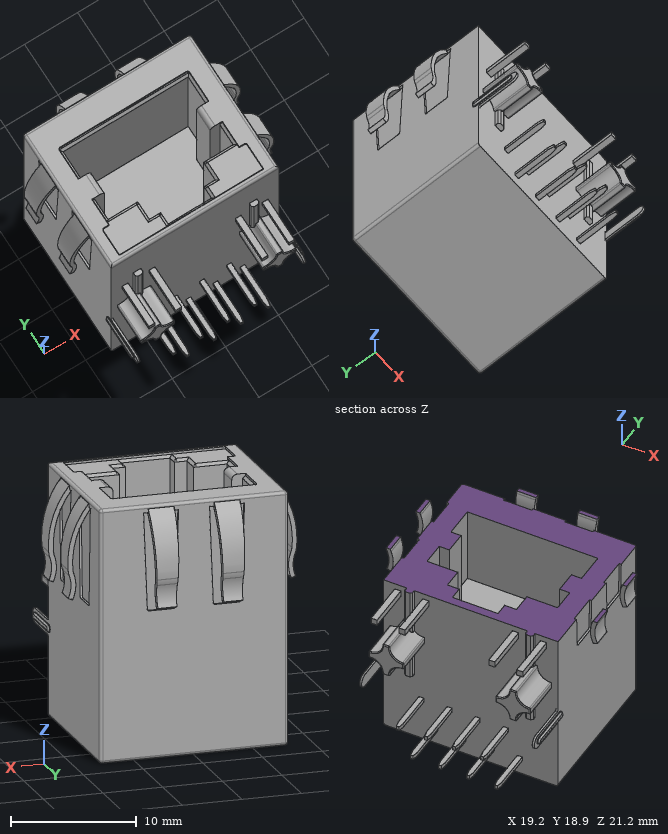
import cadquery as cq
import math


WIDTH = 15.8
DEPTH = 13.24
HEIGHT = 21.25
EDGE_RADIUS = 0.25
SHEET = 0.2

SOCKET_DEPTH = 12.75
LEAD_IN = 0.23
SOCKET_REAR_Y = 10.37
SOCKET_SHOULDER_Y = 3.65
SOCKET_STEP_Y = 1.91
SOCKET_FRONT_Y = 0.79
SOCKET_HALF_WIDTH = 5.89
STEP_HALF_WIDTH = 3.1
LATCH_HALF_WIDTH = 2.05
MOUTH_REAR_Y = 10.7
LAMP_HALF_WIDTH = 6.78
LAMP_REAR_Y = 3.12
WINDOW_CORNER_RADIUS = 0.17

RIB_HALF_GAP = 4.97
RIB_FRONT_Y = 5.65
RIB_REAR_Y = 7.67
RIB_TOP_RADIUS = 0.47

SPRING_TOP_WIDTH = 2.17
SPRING_TIP_WIDTH = 1.57
SPRING_ROOT_Z = 20.95
SPRING_TIP_Z = 12.84
SPRING_REACH = 1.7
SPRING_APEX_Z = 16.15
SPRING_THICKNESS = 0.4
SPRING_BOW_RADIUS = 7.65
SPRING_ROOT_ANGLE = 42.0
SPRING_BOW_END_ANGLE = 5.0
SPRING_KNEE_RADIUS = 1.91
SPRING_KNEE_ANGLE = 20.0
SPRING_TOE_RADIUS = 2.55
SPRING_TOE_ANGLE = 24.0
SPRING_SIDE_YS = (4.38, 9.35)
SPRING_REAR_X = 2.76
WINDOW_TOP_Z = 20.63
WINDOW_BOTTOM_Z = 12.4
WINDOW_TOP_WIDTH = 2.93
WINDOW_BOTTOM_WIDTH = 2.3

RIDGE_X = 5.46
RIDGE_WIDTH = 0.72
RIDGE_HEIGHT = 0.45
RIDGE_CHAMFER = 0.17
RIDGE_BOTTOM_Z = 6.48
RIDGE_TOP_Z = 16.55

PEG_X = 5.74
PEG_Z = 10.45
PEG_REACH = 1.57
PEG_ARM_HALF_WIDTH = 0.32
PEG_WAIST_RADIUS = 0.91
PEG_LENGTH = 3.6
PEG_TIP_CHAMFER = 0.08
PEG_ARM_ROUNDING = 0.1

PIN_LENGTH = 4.0
PINS_PER_ROW = 4
PIN_ROW_SPAN = 7.63
PIN_PITCH = PIN_ROW_SPAN / (PINS_PER_ROW - 1)
PIN_WIDTH = 0.45
PIN_THICKNESS = 0.38
PIN_TIP_WIDTH = 0.25
PIN_TIP_LENGTH = 0.53
PIN_ROW_ZS = (4.12, 1.6)
LAMP_PIN_SIZE = 0.55
LAMP_PIN_XS = (4.05, 6.59)
LAMP_PIN_Z = 14.54

TAB_WIDTH = 1.23
TAB_ROOT_RADIUS = 0.15
TAB_THICKNESS = 0.2
TAB_Z = 7.42
BEAD_WIDTH = 0.64
BEAD_HEIGHT = 0.21
BEAD_CHAMFER = 0.15
BEAD_REAR_Y = 0.55
BEAD_FRONT_Y = -3.53

EMBED = 0.32


def mirrored_pair(solid):
    return solid.union(solid.mirror("YZ"))


def box(x_range, y_range, z_range):
    (x0, x1), (y0, y1), (z0, z1) = x_range, y_range, z_range
    return cq.Workplane("XY").box(x1 - x0, y1 - y0, z1 - z0, centered=False).translate((x0, y0, z0))


def solder_side(x, z):
    """Workplane with local axes along +X and +Z whose extrusions run toward -Y."""
    return cq.Workplane("XZ", origin=(x, EMBED, z))


def make_housing():
    """Block with rounded edges; the solder side stays sharp along its sides and bottom."""
    block = box((-WIDTH / 2, WIDTH / 2), (0, DEPTH), (0, HEIGHT))
    return block.edges(">Z or |Z and >Y or <Z and (not <Y)").fillet(EDGE_RADIUS)


def socket_outline(z, margin):
    """Stepped plug outline, grown outward by the margin."""
    half_outline = [
        (SOCKET_HALF_WIDTH + margin, SOCKET_REAR_Y + margin),
        (SOCKET_HALF_WIDTH + margin, SOCKET_SHOULDER_Y - margin),
        (STEP_HALF_WIDTH + margin, SOCKET_SHOULDER_Y - margin),
        (STEP_HALF_WIDTH + margin, SOCKET_STEP_Y - margin),
        (LATCH_HALF_WIDTH + margin, SOCKET_STEP_Y - margin),
        (LATCH_HALF_WIDTH + margin, SOCKET_FRONT_Y - margin),
    ]
    other_half = [(-x, y) for x, y in reversed(half_outline)]
    return cq.Workplane("XY", origin=(0, 0, z)).polyline(half_outline + other_half).close()


def cut_socket(body):
    core_top = HEIGHT - SHEET
    mouth_half_width = SOCKET_HALF_WIDTH + LEAD_IN
    front_y = SOCKET_FRONT_Y - LEAD_IN
    mouth = box((-mouth_half_width, mouth_half_width), (front_y, MOUTH_REAR_Y), (core_top, HEIGHT))
    lamps = box((-LAMP_HALF_WIDTH, LAMP_HALF_WIDTH), (front_y, LAMP_REAR_Y), (core_top, HEIGHT))
    mouth = mouth.edges("|Z and >Y").fillet(WINDOW_CORNER_RADIUS)
    lamps = lamps.edges("|Z and >Y").fillet(WINDOW_CORNER_RADIUS)
    lead_in = socket_outline(core_top, LEAD_IN).extrude(-LEAD_IN, taper=45)
    socket = socket_outline(core_top, 0).extrude(-SOCKET_DEPTH)
    return body.cut(mouth).cut(lamps).cut(lead_in).cut(socket)


def make_rib():
    rib = box(
        (RIB_HALF_GAP, SOCKET_HALF_WIDTH + LEAD_IN + EMBED),
        (RIB_FRONT_Y, RIB_REAR_Y),
        (HEIGHT - SHEET - SOCKET_DEPTH, HEIGHT),
    )
    return rib.edges("<X and >Z").fillet(RIB_TOP_RADIUS)


def trapezoid(top_width, bottom_width, top_z, bottom_z):
    """Symmetric wire in the YZ plane."""
    return cq.Workplane("YZ").polyline([
        (-top_width / 2, top_z),
        (top_width / 2, top_z),
        (bottom_width / 2, bottom_z),
        (-bottom_width / 2, bottom_z),
    ]).close()


def polar(center, radius, degrees):
    angle = math.radians(degrees)
    return center[0] + radius * math.cos(angle), center[1] + radius * math.sin(angle)


def add_arc(outline, center, radius, start, end):
    """Extend the outline by an arc between two angles in degrees."""
    return outline.threePointArc(polar(center, radius, (start + end) / 2), polar(center, radius, end))


def make_spring():
    """Spring strip of even thickness on a wall at x = 0, bulging toward +X."""
    bow_center = (SPRING_REACH - SPRING_BOW_RADIUS, SPRING_APEX_Z)
    knee_center = polar(bow_center, SPRING_BOW_RADIUS - SPRING_KNEE_RADIUS, -SPRING_BOW_END_ANGLE)
    toe_center = polar(knee_center, SPRING_KNEE_RADIUS + SPRING_TOE_RADIUS, -SPRING_KNEE_ANGLE)
    stretches = [
        (bow_center, SPRING_BOW_RADIUS, SPRING_BOW_RADIUS - SPRING_THICKNESS, SPRING_ROOT_ANGLE,
         -SPRING_BOW_END_ANGLE),
        (knee_center, SPRING_KNEE_RADIUS, SPRING_KNEE_RADIUS - SPRING_THICKNESS, -SPRING_BOW_END_ANGLE,
         -SPRING_KNEE_ANGLE),
        (toe_center, SPRING_TOE_RADIUS, SPRING_TOE_RADIUS + SPRING_THICKNESS,
         180 - SPRING_KNEE_ANGLE, 180 + SPRING_TOE_ANGLE),
    ]
    side = cq.Workplane("XZ", origin=(0, SPRING_TOP_WIDTH / 2, 0))
    side = side.moveTo(*polar(bow_center, SPRING_BOW_RADIUS, SPRING_ROOT_ANGLE))
    for center, outer, _, start, end in stretches:
        side = add_arc(side, center, outer, start, end)
    side = side.lineTo(*polar(toe_center, SPRING_TOE_RADIUS + SPRING_THICKNESS, 180 + SPRING_TOE_ANGLE))
    for center, _, inner, start, end in reversed(stretches):
        side = add_arc(side, center, inner, end, start)
    strip = side.close().extrude(SPRING_TOP_WIDTH)
    blank = trapezoid(SPRING_TOP_WIDTH, SPRING_TIP_WIDTH, SPRING_ROOT_Z, SPRING_TIP_Z)
    return strip.intersect(blank.extrude(SPRING_REACH + EMBED).translate((-EMBED, 0, 0)))


def make_spring_window():
    """Recess through the shield sheet in a wall at x = 0."""
    window = trapezoid(WINDOW_TOP_WIDTH, WINDOW_BOTTOM_WIDTH, WINDOW_TOP_Z, WINDOW_BOTTOM_Z).extrude(-SHEET)
    return window.edges("|X and <Z").fillet(WINDOW_CORNER_RADIUS)


def on_spring_walls(shape):
    """Copies of a wall feature at the six spring stations."""
    copies = []
    for y in SPRING_SIDE_YS:
        right = shape.translate((WIDTH / 2, y, 0))
        copies += [right, right.mirror("YZ")]
    for x in (-SPRING_REAR_X, SPRING_REAR_X):
        copies.append(shape.rotate((0, 0, 0), (0, 0, 1), 90).translate((x, DEPTH, 0)))
    return copies


def make_ridge():
    ridge = box(
        (RIDGE_X - RIDGE_WIDTH / 2, RIDGE_X + RIDGE_WIDTH / 2),
        (-RIDGE_HEIGHT, EMBED),
        (RIDGE_BOTTOM_Z, RIDGE_TOP_Z),
    )
    return ridge.edges("|Z and <Y").chamfer(RIDGE_CHAMFER)


def make_peg():
    reach = PEG_REACH
    arm = PEG_ARM_HALF_WIDTH
    waist = PEG_WAIST_RADIUS * math.sqrt(0.5)
    section = (
        solder_side(PEG_X, PEG_Z)
        .moveTo(reach, -arm)
        .lineTo(reach, arm)
        .threePointArc((waist, waist), (arm, reach))
        .lineTo(-arm, reach)
        .threePointArc((-waist, waist), (-reach, arm))
        .lineTo(-reach, -arm)
        .threePointArc((-waist, -waist), (-arm, -reach))
        .lineTo(arm, -reach)
        .threePointArc((waist, -waist), (reach, -arm))
        .close()
    )
    peg = section.extrude(PEG_LENGTH + EMBED).edges("|Y").fillet(PEG_ARM_ROUNDING)
    return peg.faces("<Y").chamfer(PEG_TIP_CHAMFER)


def make_contact_pin(x, z):
    """Flat pin narrowing to its tip in width only."""
    shoulder_y = PIN_TIP_LENGTH - PIN_LENGTH
    return (
        cq.Workplane("XY", origin=(x, 0, z))
        .polyline([
            (-PIN_WIDTH / 2, EMBED),
            (-PIN_WIDTH / 2, shoulder_y),
            (-PIN_TIP_WIDTH / 2, -PIN_LENGTH),
            (PIN_TIP_WIDTH / 2, -PIN_LENGTH),
            (PIN_WIDTH / 2, shoulder_y),
            (PIN_WIDTH / 2, EMBED),
        ])
        .close()
        .extrude(PIN_THICKNESS / 2, both=True)
    )


def make_contact_pins():
    """Two rows of pins, staggered by half a pitch."""
    pins = []
    for row_z, stagger in zip(PIN_ROW_ZS, (-PIN_PITCH / 4, PIN_PITCH / 4)):
        first_x = stagger - PIN_ROW_SPAN / 2
        for index in range(PINS_PER_ROW):
            pins.append(make_contact_pin(first_x + index * PIN_PITCH, row_z))
    return pins


def make_lamp_pin(x):
    return solder_side(x, LAMP_PIN_Z).rect(LAMP_PIN_SIZE, LAMP_PIN_SIZE).extrude(PIN_LENGTH + EMBED)


def make_tab():
    """Round-ended solder tab with a stiffening bead on its outer face."""
    outer_x = WIDTH / 2
    half = TAB_WIDTH / 2
    half_root = half + TAB_ROOT_RADIUS
    root_bend = TAB_ROOT_RADIUS * (1 - math.sqrt(0.5))
    tab = (
        cq.Workplane("YZ", origin=(outer_x, 0, TAB_Z))
        .moveTo(EMBED, half_root)
        .lineTo(0, half_root)
        .threePointArc((-root_bend, half + root_bend), (-TAB_ROOT_RADIUS, half))
        .lineTo(half - PIN_LENGTH, half)
        .threePointArc((-PIN_LENGTH, 0), (half - PIN_LENGTH, -half))
        .lineTo(-TAB_ROOT_RADIUS, -half)
        .threePointArc((-root_bend, -half - root_bend), (0, -half_root))
        .lineTo(EMBED, -half_root)
        .close()
        .extrude(-TAB_THICKNESS)
    )
    bead = (
        cq.Workplane("YZ", origin=(outer_x, (BEAD_REAR_Y + BEAD_FRONT_Y) / 2, TAB_Z))
        .slot2D(BEAD_REAR_Y - BEAD_FRONT_Y, BEAD_WIDTH)
        .extrude(BEAD_HEIGHT)
        .faces(">X")
        .chamfer(BEAD_CHAMFER)
    )
    return tab.union(bead)


body = cut_socket(make_housing())
for window in on_spring_walls(make_spring_window()):
    body = body.cut(window)
for spring in on_spring_walls(make_spring()):
    body = body.union(spring)
for feature in (make_rib(), make_ridge(), make_peg(), make_tab()):
    body = body.union(mirrored_pair(feature))
for lamp_x in LAMP_PIN_XS:
    body = body.union(mirrored_pair(make_lamp_pin(lamp_x)))
for pin in make_contact_pins():
    body = body.union(pin)

result = body